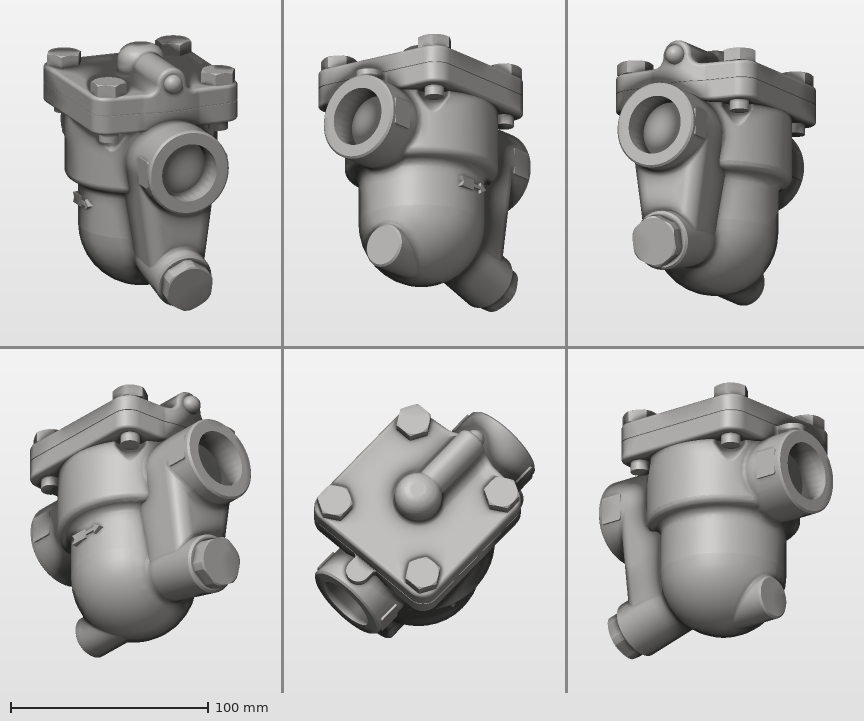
import cadquery as cq
import math


upper_radius = 38.9
lower_radius = 32.0
shoulder_z = -14.0
shoulder_round = 4.0
dome_center_z = -43.0

pipe_radius = 44.0 / 2
pipe_left_x = -55.0
pipe_right_x = 65.0
pipe_middle_x = (pipe_left_x + pipe_right_x) / 2
pipe_chamfer = 1.0
pipe_root_fillet = 2.5
bore_radius = 30.0 / 2
bore_depth = 15.0
bore_taper = math.degrees(math.atan(1 / 32))

pad_length = 12.0
pad_height = 14.0
pad_corner_round = 1.1
pad_offset = 51.2
lug_radius = 6.0
lug_center_x = -45.9
lug_root_fillet = 1.8
lug_clearance = 0.3

flange_half_width = 40.0
flange_outlet_corner_x = 38.0
flange_corner_round = 8.8
flange_bottom_z = 16.3
flange_bottom_round = 1.6
joint_z = 26.3
joint_gap = 0.5
joint_inset = 0.5
cover_top_z = 36.0
cover_top_round = 2.0
bulge_radius = 42.8
bulge_half_width = 15.1
bulge_end_round = 6.3

cover_dome_radius = 12.0
cover_dome_top_z = 51.0
cover_dome_round = 8.0
cover_dome_foot_round = 1.9
rib_radius = 8.0
rib_axis_z = 41.1
rib_dome_fillet = 1.3
ball_radius = 10.0 / 2

bolt_spacing = 60.0
bolt_head_width = 16.0
bolt_head_height = 6.3
bolt_shank_radius = 10.0 / 2
bolt_end_z = 11.2
head_chamfer_angle = 30
pocket_radius = 9.1
pocket_straight_z = 14.1
pocket_half_angle = 30
pocket_edge_round = 1.5

boss_radius = 11.1
boss_center_z = -63.0
boss_face_x = -33.1
boss_chamfer = 1.0
boss_root_fillet = 1.5

tube_radius = 30.0 / 2
tube_tilt = 15
tube_end_x = 58.6
tube_end_z = -59.1
tube_length = 45.4
tube_chamfer = 1.1
tube_root_fillet = 3.2
plug_height = 7.7
plug_width = 24.0
plug_turned_diameter = 25.7

passage_end_x = 54.0
passage_side_draft = 8
passage_edge_round = 7.2
passage_pipe_fillet = 2.5
passage_tube_fillet = 1.3

arrow_face_y = -33.1
arrow_z = -28.6
arrow_length = 20.5
arrow_half_height = 2.6
arrow_shaft_half_height = 0.9
arrow_head_length = 4.5
arrow_tail_length = 10.1
arrow_notch = 1.6


def cylinder_along_x(radius, x_start, x_end, z=0.0):
    return cq.Workplane("YZ", origin=(x_start, 0, z)).circle(radius).extrude(x_end - x_start)


def blend(part, radius, low, high, kinds):
    """Round the edges of the given kinds that lie wholly inside the box from `low` to `high`."""
    inside = cq.selectors.BoxSelector(low, high, boundingbox=True)
    return part.edges(kinds).edges(inside).fillet(radius)


def hexagon_head(seat, flat_width, turned_diameter, height, turn):
    """Hexagonal head turned down to a diameter, with a conical chamfer on its outer face."""
    prism = (
        cq.Workplane(seat)
        .transformed(rotate=(0, 0, turn))
        .polygon(6, flat_width / math.cos(math.radians(30)))
        .extrude(height)
    )
    trim = (turned_diameter - flat_width) / 2
    trim_height = trim * math.tan(math.radians(head_chamfer_angle))
    blank = (
        cq.Workplane(seat)
        .circle(turned_diameter / 2)
        .extrude(height)
        .faces(cq.selectors.DirectionMinMaxSelector(seat.zDir))
        .chamfer(trim_height, trim)
    )
    return prism.intersect(blank)


def body_shell():
    """Revolved body with a rounded shoulder and a hemispherical bottom."""
    diagonal = math.sqrt(0.5)
    round_center_x = upper_radius - shoulder_round
    waist_center_x = lower_radius + shoulder_round
    center_drop = math.sqrt((2 * shoulder_round) ** 2 - (waist_center_x - round_center_x) ** 2)
    tangent_x = (round_center_x + waist_center_x) / 2
    tangent_z = shoulder_z - center_drop / 2
    return (
        cq.Workplane("XZ")
        .moveTo(0, flange_bottom_z)
        .lineTo(upper_radius, flange_bottom_z)
        .lineTo(upper_radius, shoulder_z)
        .radiusArc((tangent_x, tangent_z), shoulder_round)
        .radiusArc((lower_radius, shoulder_z - center_drop), -shoulder_round)
        .lineTo(lower_radius, dome_center_z)
        .threePointArc(
            (lower_radius * diagonal, dome_center_z - lower_radius * diagonal),
            (0, dome_center_z - lower_radius),
        )
        .close()
        .revolve(360, (0, 0, 0), (0, 1, 0))
    )


def drain_boss():
    boss = cylinder_along_x(boss_radius, boss_face_x, 0, boss_center_z)
    return boss.faces("<X").chamfer(boss_chamfer)


def strainer_tube():
    """Inclined tube, built outward from inside the body."""
    tube = cq.Workplane(tube_plane).workplane(offset=-tube_length).circle(tube_radius).extrude(tube_length)
    return tube.faces(cq.selectors.DirectionMinMaxSelector(tube_plane.zDir)).chamfer(tube_chamfer)


def passage():
    """Wedge with sides tangent to the pipe, ending on the axis of the strainer tube."""
    draft = math.radians(passage_side_draft)
    tangent_y = pipe_radius * math.cos(draft)
    tangent_z = -pipe_radius * math.sin(draft)
    base_z = tube_end_z
    base_y = tangent_y + (base_z - tangent_z) * math.tan(draft)
    wedge = (
        cq.Workplane("YZ")
        .polyline([(0, 0), (tangent_y, tangent_z), (base_y, base_z), (-base_y, base_z), (-tangent_y, tangent_z)])
        .close()
        .extrude(passage_end_x)
    )
    wedge = wedge.edges(">X and (not #Z) and (not |Y)").edges("<Y or >Y").fillet(passage_edge_round)
    slope = math.tan(math.radians(tube_tilt))
    outline = (
        cq.Workplane("XZ")
        .polyline(
            [
                (0, 0),
                (0, tube_end_z + tube_end_x * slope),
                (passage_end_x, tube_end_z + (tube_end_x - passage_end_x) * slope),
                (passage_end_x, 0),
            ]
        )
        .close()
        .extrude(pipe_radius, both=True)
    )
    return wedge.intersect(outline)


def flange_plate(bottom_z, top_z, inset=0.0):
    """Square plate with rounded corners and a bulged edge on the outlet side."""
    half = flange_half_width - inset
    bulge = bulge_radius - inset
    bulge_corner_x = math.sqrt(bulge**2 - bulge_half_width**2)
    corner_x = flange_outlet_corner_x - inset
    plate = (
        cq.Workplane("XY", origin=(0, 0, bottom_z))
        .moveTo(-half, -half)
        .lineTo(corner_x, -half)
        .lineTo(bulge_corner_x, -bulge_half_width)
        .threePointArc((bulge, 0), (bulge_corner_x, bulge_half_width))
        .lineTo(corner_x, half)
        .lineTo(-half, half)
        .close()
        .extrude(top_z - bottom_z)
    )
    plate = plate.edges("|Z").edges("<Y or >Y").fillet(flange_corner_round)
    bulge_ends = cq.selectors.BoxSelector((0, -bulge_half_width - 1.3, bottom_z), (half + 6.3, bulge_half_width + 1.3, top_z))
    return plate.edges("|Z").edges(bulge_ends).fillet(bulge_end_round)


def cover_dome():
    """Round-topped dome with a flared foot."""
    foot_radius = cover_dome_radius + cover_dome_foot_round
    flat_radius = cover_dome_radius - cover_dome_round
    return (
        cq.Workplane("XZ")
        .moveTo(0, joint_z + joint_gap)
        .lineTo(foot_radius, joint_z + joint_gap)
        .lineTo(foot_radius, cover_top_z)
        .radiusArc((cover_dome_radius, cover_top_z + cover_dome_foot_round), cover_dome_foot_round)
        .lineTo(cover_dome_radius, cover_dome_top_z - cover_dome_round)
        .radiusArc((flat_radius, cover_dome_top_z), -cover_dome_round)
        .lineTo(0, cover_dome_top_z)
        .close()
        .revolve(360, (0, 0, 0), (0, 1, 0))
    )


def cover_rib():
    """Half-round rib with flared feet, cut to the bulged edge of the cover."""
    flare = rib_axis_z - cover_top_z
    foot_half_width = rib_radius + flare
    rib = (
        cq.Workplane("YZ")
        .moveTo(-foot_half_width, joint_z + joint_gap)
        .lineTo(-foot_half_width, cover_top_z)
        .radiusArc((-rib_radius, rib_axis_z), -flare)
        .threePointArc((0, rib_axis_z + rib_radius), (rib_radius, rib_axis_z))
        .radiusArc((foot_half_width, cover_top_z), -flare)
        .lineTo(foot_half_width, joint_z + joint_gap)
        .close()
        .extrude(bulge_radius)
    )
    limit = (
        cq.Workplane("XY", origin=(0, 0, joint_z))
        .circle(bulge_radius)
        .extrude(cover_dome_top_z - joint_z)
    )
    return rib.intersect(limit)


def bolt_pocket(x, y):
    """Clearance bore with a conical bottom."""
    cone_height = pocket_radius / math.tan(math.radians(pocket_half_angle))
    return (
        cq.Workplane("XZ", origin=(x, y, 0))
        .moveTo(0, flange_bottom_z)
        .lineTo(pocket_radius, flange_bottom_z)
        .lineTo(pocket_radius, pocket_straight_z)
        .lineTo(0, pocket_straight_z - cone_height)
        .close()
        .revolve(360, (0, 0, 0), (0, 1, 0))
    )


def bolt(x, y, turn):
    seat = cq.Plane(origin=(x, y, cover_top_z))
    corner_diameter = bolt_head_width / math.cos(math.radians(30))
    head = hexagon_head(seat, bolt_head_width, corner_diameter, bolt_head_height, turn)
    shank = cq.Workplane(seat).circle(bolt_shank_radius).extrude(bolt_end_z - cover_top_z)
    return head.union(shank)


def wrench_pads(x):
    """Flat pads on both sides of the pipe."""
    return (
        cq.Workplane("XZ", origin=(x, 0, 0))
        .rect(pad_length, pad_height)
        .extrude(pipe_radius, both=True)
        .edges("|Y")
        .fillet(pad_corner_round)
    )


def pipe_lug():
    """Round-ended lug that stands on the inlet pipe and runs into the flange."""
    top_z = joint_z - lug_clearance
    return (
        cq.Workplane("XY")
        .moveTo(-flange_half_width, -lug_radius)
        .lineTo(lug_center_x, -lug_radius)
        .threePointArc((lug_center_x - lug_radius, 0), (lug_center_x, lug_radius))
        .lineTo(-flange_half_width, lug_radius)
        .close()
        .extrude(top_z)
    )


def flow_arrow():
    """Raised arrow pointing toward the outlet."""
    tail_x = -arrow_length / 2
    shaft_x = tail_x + arrow_tail_length
    tip_x = arrow_length / 2
    head_x = tip_x - arrow_head_length
    upper = [
        (tail_x, arrow_half_height),
        (shaft_x, arrow_half_height),
        (shaft_x, arrow_shaft_half_height),
        (head_x, arrow_shaft_half_height),
        (head_x, arrow_half_height),
    ]
    lower = [(x, -z) for x, z in reversed(upper)]
    return (
        cq.Workplane("XZ", origin=(0, arrow_face_y, arrow_z))
        .polyline(upper + [(tip_x, 0)] + lower + [(tail_x + arrow_notch, 0)])
        .close()
        .extrude(-lower_radius / 2)
    )


tilt = math.radians(tube_tilt)
tube_plane = cq.Plane(
    origin=(tube_end_x, 0, tube_end_z),
    xDir=(math.sin(tilt), 0, math.cos(tilt)),
    normal=(math.cos(tilt), 0, -math.sin(tilt)),
)

body = body_shell().union(drain_boss())
body = blend(body, boss_root_fillet, (-37.8, -37.8, -88.2), (1.3, 37.8, -44.1), "%BSPLINE")
body = body.union(strainer_tube())
body = blend(body, tube_root_fillet, (0, -37.8, -88.2), (44.1, 37.8, -25.2), "%BSPLINE")
pipe = cylinder_along_x(pipe_radius, pipe_left_x, pipe_right_x).faces("<X or >X").chamfer(pipe_chamfer)
body = body.union(pipe)
body = blend(body, pipe_root_fillet, (-50.4, -37.8, -25.2), (50.4, 37.8, 25.2), "%BSPLINE")

half_spacing = bolt_spacing / 2
bolt_places = [(sx * half_spacing, sy * half_spacing) for sx in (-1, 1) for sy in (-1, 1)]
for x, y in bolt_places:
    body = body.cut(bolt_pocket(x, y))
    low = (min(0.55 * x, 1.2 * x), min(0.55 * y, 1.2 * y), 0)
    high = (max(0.55 * x, 1.2 * x), max(0.55 * y, 1.2 * y), flange_bottom_z + 0.1)
    body = blend(body, pocket_edge_round, low, high, "%BSPLINE or |Z")
body = body.union(passage())
beyond_x = passage_end_x - passage_edge_round - 0.1
past_x = passage_end_x + 0.1
body = blend(body, passage_pipe_fillet, (beyond_x, -37.8, -25.2), (past_x, 37.8, -2.5), "%BSPLINE or %CIRCLE")
body = blend(body, passage_tube_fillet, (beyond_x, -37.8, -56.7), (past_x, 37.8, -37.8), "%BSPLINE or %ELLIPSE")

body = body.union(flange_plate(flange_bottom_z, joint_z).faces("<Z").edges().fillet(flange_bottom_round))
lug_end = -flange_half_width + 0.1
body = body.union(pipe_lug())
body = blend(body, lug_root_fillet, (lug_end - 0.3, -7.5, 17.6), (lug_end, 7.5, joint_z), "|Z")
for side in (-1, 1):
    body = body.union(wrench_pads(pipe_middle_x + side * pad_offset))

cover = flange_plate(joint_z + joint_gap, cover_top_z).union(cover_rib())
just_below = cover_top_z - 0.1
top_edges = cq.selectors.BoxSelector((-50.4, -50.4, just_below), (50.4, 50.4, cover_dome_top_z))
rib_edges = cq.selectors.BoxSelector((-1.3, -bulge_half_width, just_below), (39, bulge_half_width, cover_dome_top_z))
cover = cover.edges(top_edges - rib_edges).fillet(cover_top_round)
cover = cover.union(cover_dome())
rib_start = (cover_dome_radius / 2, -bulge_half_width, cover_top_z + 0.1)
cover = blend(cover, rib_dome_fillet, rib_start, (17.6, bulge_half_width, cover_dome_top_z), "%BSPLINE")
gasket = flange_plate(joint_z, joint_z + joint_gap, joint_inset)
ball = cq.Workplane("XY", origin=(bulge_radius, 0, rib_axis_z)).sphere(ball_radius)

result = body.union(gasket).union(cover).union(ball)
for x, y in bolt_places:
    result = result.union(bolt(x, y, 30 if x * y > 0 else 0))
result = result.union(hexagon_head(tube_plane, plug_width, plug_turned_diameter, plug_height, 0))
result = result.union(flow_arrow())

for end_x, inward in ((pipe_left_x, 1), (pipe_right_x, -1)):
    mouth = cq.Plane(origin=(end_x, 0, 0), xDir=(0, 1, 0), normal=(inward, 0, 0))
    result = result.cut(cq.Workplane(mouth).circle(bore_radius).extrude(bore_depth, taper=bore_taper))